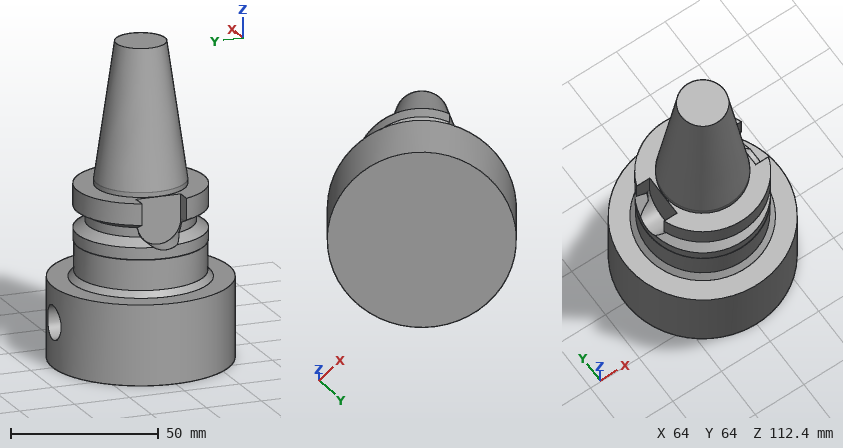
import cadquery as cq

body_dia = 64.0
foot_dia = 49.2
neck_dia = 45.4
flange_dia = 46.0
groove_dia = 37.8
gauge_dia = 31.9
tip_dia = 17.8

body_top = 28.8
foot_top = 30.9
neck_top = 41.7
lower_flange_top = 46.2
groove_bottom = 48.7
groove_top = 52.0
upper_flange_bottom = 54.2
flange_top = 61.8
taper_start = 63.5
overall_height = 112.4

slot_width = 16.2
slot_bottom = 45.0
slot_flat_distance = 32.4

side_hole_dia = 12.3
side_hole_height = 16.1
side_hole_depth = (body_dia - gauge_dia) / 2


def make_holder():
    """Revolve the half section around Z."""
    flange_step = (flange_dia - neck_dia) / 2
    section = [
        (0, 0),
        (body_dia / 2, 0),
        (body_dia / 2, body_top),
        (foot_dia / 2, body_top),
        (neck_dia / 2, foot_top),
        (neck_dia / 2, neck_top),
        (flange_dia / 2, neck_top + flange_step),
        (flange_dia / 2, lower_flange_top),
        (groove_dia / 2, groove_bottom),
        (groove_dia / 2, groove_top),
        (flange_dia / 2, upper_flange_bottom),
        (flange_dia / 2, flange_top),
        (gauge_dia / 2, flange_top),
        (gauge_dia / 2, taper_start),
        (tip_dia / 2, overall_height),
        (0, overall_height),
    ]
    return cq.Workplane("XZ").polyline(section).close().revolve(360, (0, 0, 0), (0, 1, 0))


def make_drive_slot(side):
    """Cutter for one drive slot; side is +1 for +X and -1 for -X."""
    half_width = slot_width / 2
    arc_height = slot_bottom + half_width
    slot_depth = (flange_dia - slot_flat_distance) / 2
    return (
        cq.Workplane("YZ", origin=(side * slot_flat_distance / 2, 0, 0))
        .moveTo(-half_width, flange_top)
        .lineTo(-half_width, arc_height)
        .threePointArc((0, slot_bottom), (half_width, arc_height))
        .lineTo(half_width, flange_top)
        .close()
        .extrude(side * slot_depth)
    )


def make_side_hole():
    """Cutter for the radial hole, pointing inwards from the +Y side."""
    return (
        cq.Workplane("XZ", origin=(0, body_dia / 2, side_hole_height))
        .circle(side_hole_dia / 2)
        .extrude(side_hole_depth)
    )


result = make_holder()
for side in (-1, 1):
    result = result.cut(make_drive_slot(side))
result = result.cut(make_side_hole())